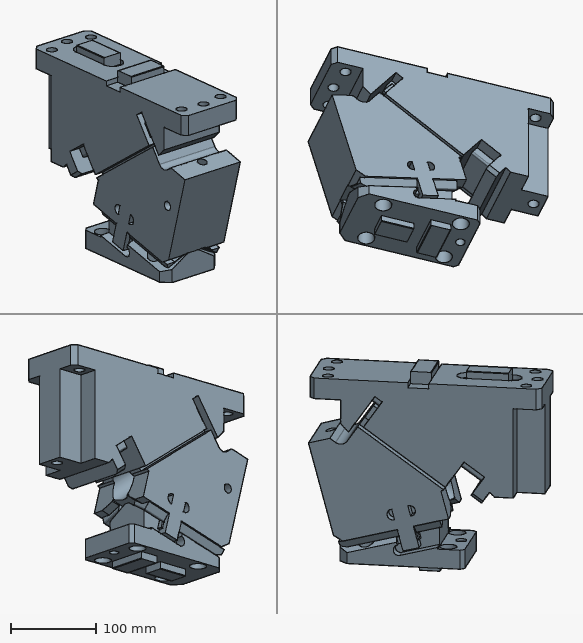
import cadquery as cq
import math


WIDTH = 85.0
HALF_WIDTH = WIDTH / 2
REACH = 278.0

SLIDE_ANGLE = 35.0
SLIDE_X, SLIDE_Z = 114.3, 99.5
SLIDE_LENGTH = 119.5
SLIDE_GAP = 4.0

RAMP_ANGLE = 15.0
RAMP_X, RAMP_Z = 110.6, 61.0

PLATE_LENGTH = 277.2
PLATE_THICKNESS = 25.3
PLATE_CHAMFER = 6.0
HOUSING_TOP = 225.2
HOUSING_HEIGHT = 134.8
HOUSING_BOTTOM = HOUSING_TOP - HOUSING_HEIGHT
HOUSING_FOOT_END = 55.5
STEM_RIGHT = 239.5
STEM_TIP_Z = 171.0
RIB_LENGTH, RIB_WIDTH = 33.4, 35.9
NOTCH_DEPTH = 39.0
UPPER_NOTCH_WIDTH = 10.5
LIP_DEPTH = 15.8
LOWER_NOTCH_WIDTH = 29.7
LEG_WIDTH = 15.5
LEG_TIP = 9.2
LEG_ROOT = 27.2
LEG_CHAMFER = 4.5
WEB_BOTTOM = 27.0
WEB_HALF_WIDTH = 27.8
WEB_ROUND = 2.2
MOUNT_HOLE_RADIUS = 6.5
MOUNT_HOLE_Y = 30.0
LEFT_HOLES_X, LEFT_DOWEL_X = 20.0, 12.0
RIGHT_HOLES_X, RIGHT_DOWEL_X = 257.0, 261.3

KEY_HEIGHT = 9.0
KEY_WIDTH = 25.0
KEY_LENGTH = 50.0
KEY_CHAMFER = 0.8
KEY_SEAT_DEPTH = 6.0
LONG_KEY_X = 69.5
LONG_SEAT_LENGTH = 77.3
CROSS_KEY_X = 146.8

SLIDER_LENGTH = 139.8
SLIDER_HEIGHT = 124.8
SLIDER_CHAMFER = 9.5
SLIDER_END_HEIGHT = 34.5
PAD_HALF_WIDTH = 32.0
KEEPER_THICKNESS = 5.5
SLIDER_RIGHT = SLIDE_LENGTH + KEEPER_THICKNESS
KEEPER_TOP = 26.7
KEEPER_STEP = 8.5
KEEPER_HALF_WIDTH = 36.0
NECK_FLOOR = 35.9
NECK_ROUND = 10.0
NECK_END = 143.5
SCREW_HOLE_RADIUS = 5.8
CROSS_HOLE_RADIUS = 5.5
SCREW_HOLE_S, SCREW_HOLE_H = 120.0, 74.5
VEE_HALF_WIDTH, VEE_INNER = 28.5, 13.5
RIDGE_CLEARANCE = 1.7
BORE_RADIUS = 17.2
BORE_AXIS = 10.0
BORE_END = 83.5
LINER_START, LINER_END = 11.7, 136.5
LINER_TOP_Y, LINER_BOTTOM_Y = 40.3, 35.0
LINER_EDGE_ROUND = 1.0
LEAD_LENGTH, LEAD_RISE = 9.0, 4.5
TAB_START, TAB_WIDTH = 43.5, 20.0
TAB_DEPTH = 26.5
TAB_INNER_Y = 35.5
HOOK_INNER_Y, HOOK_TOP = 30.3, 19.0
RELIEF_RADIUS, RELIEF_H, RELIEF_DEPTH = 6.5, 19.2, 12.2
RELIEF_SHIFT = 0.8

DRIVER_LEFT, DRIVER_RIGHT = 92.0, 242.0
DRIVER_PLATE = 23.4
RAMP_FRONT = 123.7
LEFT_CHAMFER, RIGHT_CHAMFER = 4.7, 10.3
ROOF_ANGLE = 30.0
ROOF_EDGE_DROP = 14.5
RIDGE_HALF_WIDTH = 3.3
SLOT_BOTTOM, SLOT_TOP = 30.9, 18.3
SLOT_END = 68.5
SLOT_INNER_Y = 29.2
FLANGE_START, FLANGE_Y = 41.5, 35.3
BOLT_RADIUS = 10.0
BOLT_Y = 30.0
BOLT_LEFT_X, BOLT_RIGHT_X = 113.1, 210.0
DOWEL_X = 103.0
DOWEL_RADIUS = 5.5
DOWEL_MOUTH_RADIUS, DOWEL_MOUTH_DEPTH = 6.5, 3.0
DRIVER_CROSS_KEY_X = 136.2
DRIVER_LONG_KEY_X, DRIVER_LONG_KEY_LENGTH = 185.7, 40.3


def unit(angle):
    radians = math.radians(angle)
    return math.cos(radians), math.sin(radians)


SLIDE_COS, SLIDE_SIN = unit(SLIDE_ANGLE)
RAMP_COS, RAMP_SIN = unit(RAMP_ANGLE)
RAMP_ORIGIN = (RAMP_X, 0, RAMP_Z)
DOWN_RAMP = (RAMP_COS, 0, -RAMP_SIN)
RAMP_NORMAL = (RAMP_SIN, 0, RAMP_COS)

slide_side = cq.Plane((SLIDE_X, 0, SLIDE_Z), (SLIDE_COS, 0, SLIDE_SIN), (0, -1, 0))
slide_section = cq.Plane((SLIDE_X, 0, SLIDE_Z), (0, 1, 0), (SLIDE_COS, 0, SLIDE_SIN))
ramp_side = cq.Plane(RAMP_ORIGIN, DOWN_RAMP, (0, -1, 0))
ramp_section = cq.Plane(RAMP_ORIGIN, (0, 1, 0), DOWN_RAMP)
ramp_plan = cq.Plane(RAMP_ORIGIN, DOWN_RAMP, RAMP_NORMAL)


def slide_point(t, n):
    """X, Z of a point of the slide frame."""
    return SLIDE_X + t * SLIDE_COS - n * SLIDE_SIN, SLIDE_Z + t * SLIDE_SIN + n * SLIDE_COS


def ramp_point(s, h):
    """X, Z of a point of the ramp frame."""
    return RAMP_X + s * RAMP_COS + h * RAMP_SIN, RAMP_Z - s * RAMP_SIN + h * RAMP_COS


def block(x0, x1, y0, y1, z0, z1):
    return cq.Workplane("XY").box(x1 - x0, y1 - y0, z1 - z0, centered=False).translate((x0, y0, z0))


def side_block(plane, u0, u1, v0, v1, y0, y1):
    """Block in a side frame, spanning y0..y1 across the unit."""
    sketch = cq.Workplane(plane).workplane(offset=-y1)
    return sketch.moveTo(u0, v0).lineTo(u1, v0).lineTo(u1, v1).lineTo(u0, v1).close().extrude(y1 - y0)


def both_sides(shape):
    return shape.union(shape.mirror("XZ"))


def upright_holes(body, centres, radius):
    for x, y in centres:
        body = body.cut(cq.Workplane("XY").center(x, y).circle(radius).extrude(2 * REACH, both=True))
    return body


def key(length, chamfer_face, z0, z1):
    """Key along X, centred on the Z axis, with its exposed long edges chamfered."""
    body = block(-length / 2, length / 2, -KEY_WIDTH / 2, KEY_WIDTH / 2, z0, z1)
    return body.faces(chamfer_face).edges("|X").chamfer(KEY_CHAMFER)


def housing_body():
    leg_outer = -LOWER_NOTCH_WIDTH - LEG_WIDTH
    leg_root = slide_point(leg_outer, LEG_ROOT)
    lip_tip = slide_point(SLIDE_LENGTH + UPPER_NOTCH_WIDTH, -LIP_DEPTH)
    plate_bottom = HOUSING_TOP - PLATE_THICKNESS
    outline = [
        (0, HOUSING_TOP),
        (0, HOUSING_BOTTOM),
        (HOUSING_FOOT_END, HOUSING_BOTTOM),
        leg_root,
        slide_point(leg_outer, LEG_TIP),
        slide_point(-LOWER_NOTCH_WIDTH, LEG_TIP),
        slide_point(-LOWER_NOTCH_WIDTH, NOTCH_DEPTH),
        slide_point(0, NOTCH_DEPTH),
        slide_point(0, 0),
        slide_point(SLIDE_LENGTH, 0),
        slide_point(SLIDE_LENGTH, NOTCH_DEPTH),
        slide_point(SLIDE_LENGTH + UPPER_NOTCH_WIDTH, NOTCH_DEPTH),
        lip_tip,
        (STEM_RIGHT, STEM_TIP_Z),
        (STEM_RIGHT, plate_bottom),
        (PLATE_LENGTH, plate_bottom),
        (PLATE_LENGTH, HOUSING_TOP),
    ]
    body = cq.Workplane("XZ").polyline(outline).close().extrude(HALF_WIDTH, both=True)
    relief = block(0, RIB_LENGTH, RIB_WIDTH / 2, HALF_WIDTH, 0, plate_bottom)
    return body.cut(both_sides(relief))


def plate_corners():
    """Prism that trims the four upright corners of the housing plate."""
    prism = block(0, PLATE_LENGTH, -HALF_WIDTH, HALF_WIDTH, 0, HOUSING_TOP)
    plate = prism.edges("|Z").chamfer(PLATE_CHAMFER)
    corners = prism.cut(plate)
    return corners.intersect(
        block(0, PLATE_LENGTH, -HALF_WIDTH, HALF_WIDTH, HOUSING_TOP - PLATE_THICKNESS, HOUSING_TOP)
    )


def leg_corners():
    """Wedges that chamfer the two lower corners of the leg."""
    corner = [
        (HALF_WIDTH, LEG_TIP),
        (HALF_WIDTH - LEG_CHAMFER, LEG_TIP),
        (HALF_WIDTH, LEG_TIP + LEG_CHAMFER),
    ]
    wedge = cq.Workplane(slide_section).polyline(corner).close().extrude(-LOWER_NOTCH_WIDTH - LEG_WIDTH)
    return both_sides(wedge)


def notch_web(t0, t1):
    """Central web with rounded lower edges, filling the inner end of a notch."""
    web = (
        cq.Workplane(slide_section)
        .workplane(offset=t0)
        .center(0, (WEB_BOTTOM + NOTCH_DEPTH) / 2)
        .rect(2 * WEB_HALF_WIDTH, NOTCH_DEPTH - WEB_BOTTOM)
        .extrude(t1 - t0)
    )
    lower_edges = web.faces(cq.selectors.DirectionMinMaxSelector(slide_side.yDir, False))
    return lower_edges.edges(cq.selectors.ParallelDirSelector(slide_side.xDir)).fillet(WEB_ROUND)


def housing():
    body = housing_body().cut(plate_corners()).cut(leg_corners())
    body = body.union(notch_web(-LOWER_NOTCH_WIDTH, 0))
    body = body.union(notch_web(SLIDE_LENGTH, SLIDE_LENGTH + UPPER_NOTCH_WIDTH))

    left_holes = [(LEFT_HOLES_X, -MOUNT_HOLE_Y), (LEFT_HOLES_X, MOUNT_HOLE_Y), (LEFT_DOWEL_X, 0)]
    right_holes = [(RIGHT_HOLES_X, -MOUNT_HOLE_Y), (RIGHT_HOLES_X, MOUNT_HOLE_Y), (RIGHT_DOWEL_X, 0)]
    body = upright_holes(body, left_holes + right_holes, MOUNT_HOLE_RADIUS)

    seat_floor = HOUSING_TOP - KEY_SEAT_DEPTH
    key_top = HOUSING_TOP + KEY_HEIGHT
    long_seat = (
        cq.Workplane("XY", origin=(LONG_KEY_X, 0, seat_floor))
        .slot2D(LONG_SEAT_LENGTH, KEY_WIDTH)
        .extrude(KEY_SEAT_DEPTH)
    )
    cross_seat = block(
        CROSS_KEY_X - KEY_WIDTH / 2, CROSS_KEY_X + KEY_WIDTH / 2,
        -HALF_WIDTH, HALF_WIDTH, seat_floor, HOUSING_TOP,
    )
    long_key = key(KEY_LENGTH, ">Z", seat_floor, key_top).translate((LONG_KEY_X, 0, 0))
    cross_key = key(KEY_LENGTH, ">Z", seat_floor, key_top).rotate((0, 0, 0), (0, 0, 1), 90)
    cross_key = cross_key.translate((CROSS_KEY_X, 0, 0))
    return body.cut(long_seat).cut(cross_seat).union(long_key).union(cross_key)


def roof_height(y):
    """Height h of the driver roof at a distance y from the middle plane."""
    return (HALF_WIDTH - y) * math.tan(math.radians(ROOF_ANGLE)) - ROOF_EDGE_DROP


def vee_height(y):
    """Height h of the slider's vee underside at a distance y from the middle plane."""
    return (VEE_HALF_WIDTH - y) * math.tan(math.radians(ROOF_ANGLE))


def slider_body():
    arc_inset = NECK_ROUND * (1 - math.sqrt(0.5))
    outline = [
        ramp_point(0, 0),
        ramp_point(SLIDER_LENGTH - SLIDER_CHAMFER, 0),
        ramp_point(SLIDER_LENGTH, SLIDER_CHAMFER),
        ramp_point(SLIDER_LENGTH, SLIDER_HEIGHT),
        slide_point(NECK_END, -NECK_FLOOR),
    ]
    return (
        cq.Workplane("XZ")
        .polyline(outline)
        .lineTo(*slide_point(SLIDER_RIGHT + NECK_ROUND, -NECK_FLOOR))
        .threePointArc(
            slide_point(SLIDER_RIGHT + arc_inset, arc_inset - NECK_FLOOR),
            slide_point(SLIDER_RIGHT, NECK_ROUND - NECK_FLOOR),
        )
        .lineTo(*slide_point(SLIDER_RIGHT, -SLIDE_GAP))
        .lineTo(*slide_point(0, -SLIDE_GAP))
        .lineTo(*ramp_point(0, SLIDER_END_HEIGHT))
        .close()
        .extrude(HALF_WIDTH, both=True)
    )


def slide_pad_and_keeper():
    """Pad touching the slide face, and the keeper plate standing up in the upper notch."""
    pad = side_block(slide_side, 0, SLIDER_RIGHT, -SLIDE_GAP, 0, -PAD_HALF_WIDTH, PAD_HALF_WIDTH)
    neck = side_block(slide_side, SLIDE_LENGTH, SLIDER_RIGHT, 0, KEEPER_STEP, -PAD_HALF_WIDTH, PAD_HALF_WIDTH)
    keeper = side_block(
        slide_side, SLIDE_LENGTH, SLIDER_RIGHT, KEEPER_STEP, KEEPER_TOP, -KEEPER_HALF_WIDTH, KEEPER_HALF_WIDTH
    )
    return pad.union(neck).union(keeper)


def vee_groove():
    """Vee along the underside, with a flat-topped channel that clears the driver ridge."""
    vee_top = vee_height(VEE_INNER)
    channel_top = vee_top + RIDGE_CLEARANCE
    section = [
        (-VEE_HALF_WIDTH, 0),
        (-VEE_INNER, vee_top),
        (-VEE_INNER, channel_top),
        (VEE_INNER, channel_top),
        (VEE_INNER, vee_top),
        (VEE_HALF_WIDTH, 0),
    ]
    return cq.Workplane(ramp_section).polyline(section).close().extrude(REACH)


def spring_bore():
    """Blind bore along the slide, opening at the slider's lower end."""
    mouth = cq.Workplane(slide_section).workplane(offset=-LOWER_NOTCH_WIDTH).center(0, -BORE_AXIS)
    return mouth.circle(BORE_RADIUS).extrude(LOWER_NOTCH_WIDTH + BORE_END)


def liners():
    """Sloping liners between the vee and the driver roof, one on each side."""
    section = [
        (LINER_TOP_Y, 0),
        (LINER_BOTTOM_Y, roof_height(LINER_BOTTOM_Y)),
        (VEE_INNER, roof_height(VEE_INNER)),
        (VEE_INNER, vee_height(VEE_INNER)),
        (VEE_HALF_WIDTH, 0),
    ]
    liner = (
        cq.Workplane(ramp_section)
        .workplane(offset=LINER_START)
        .polyline(section)
        .close()
        .extrude(LINER_END - LINER_START)
    )
    roof_cos, roof_sin = unit(ROOF_ANGLE)
    up_roof = cq.Vector(0, -roof_cos, 0) + cq.Vector(*RAMP_NORMAL) * roof_sin
    eave = ramp_section.toWorldCoords((HALF_WIDTH, -ROOF_EDGE_DROP))
    wedge = (
        cq.Workplane(cq.Plane(eave, DOWN_RAMP, up_roof))
        .polyline([(LINER_END, 0), (LINER_END - LEAD_LENGTH, 0), (LINER_END, LEAD_RISE)])
        .close()
        .extrude(HALF_WIDTH)
    )
    liner = liner.cut(wedge)
    outer_edge = ramp_section.toWorldCoords(
        (LINER_BOTTOM_Y, roof_height(LINER_BOTTOM_Y), (LINER_START + LINER_END) / 2)
    )
    middle_y = (LINER_BOTTOM_Y + VEE_INNER) / 2
    near_edge = ramp_section.toWorldCoords((middle_y, roof_height(middle_y), LINER_START))
    sliding_edges = cq.selectors.SumSelector(
        cq.NearestToPointSelector(outer_edge.toTuple()), cq.NearestToPointSelector(near_edge.toTuple())
    )
    liner = liner.edges(sliding_edges).fillet(LINER_EDGE_ROUND)
    return both_sides(liner)


def hooked_tabs():
    """Tabs hanging from both flanks, hooked inwards below the driver flange."""
    tab_end = TAB_START + TAB_WIDTH
    tab = side_block(ramp_side, TAB_START, tab_end, -TAB_DEPTH, 0, TAB_INNER_Y, HALF_WIDTH)
    hook = side_block(ramp_side, TAB_START, tab_end, -TAB_DEPTH, -HOOK_TOP, HOOK_INNER_Y, HALF_WIDTH)
    return both_sides(tab.union(hook))


def tab_reliefs():
    """Part-round pockets beside the top of each tab."""
    tab_end = TAB_START + TAB_WIDTH
    centres = [(TAB_START - RELIEF_SHIFT, RELIEF_H), (tab_end + RELIEF_SHIFT, RELIEF_H)]
    rounds = (
        cq.Workplane(ramp_side)
        .workplane(offset=HALF_WIDTH - RELIEF_DEPTH)
        .pushPoints(centres)
        .circle(RELIEF_RADIUS)
        .extrude(RELIEF_DEPTH)
    )
    tab_strip = side_block(ramp_side, TAB_START, tab_end, 0, REACH, -HALF_WIDTH, HALF_WIDTH)
    return both_sides(rounds.cut(tab_strip))


def upright_screw_hole():
    """Hole down from the slider top to just below the cross hole."""
    plane = cq.Workplane(ramp_plan).workplane(offset=SCREW_HOLE_H - SCREW_HOLE_RADIUS)
    return plane.center(SCREW_HOLE_S, 0).circle(SCREW_HOLE_RADIUS).extrude(SLIDER_HEIGHT)


def cross_screw_hole():
    """Blind hole from the -Y flank that meets the upright hole."""
    centre = cq.Workplane(ramp_side).center(SCREW_HOLE_S, SCREW_HOLE_H)
    return centre.circle(CROSS_HOLE_RADIUS).extrude(HALF_WIDTH)


def slider():
    body = slider_body().union(slide_pad_and_keeper())
    body = body.cut(vee_groove()).cut(spring_bore())
    body = body.union(liners()).union(hooked_tabs())
    return body.cut(tab_reliefs()).cut(upright_screw_hole()).cut(cross_screw_hole())


def roof_prism():
    ridge = roof_height(RIDGE_HALF_WIDTH)
    section = [
        (-HALF_WIDTH, -REACH),
        (-HALF_WIDTH, -ROOF_EDGE_DROP),
        (-RIDGE_HALF_WIDTH, ridge),
        (RIDGE_HALF_WIDTH, ridge),
        (HALF_WIDTH, -ROOF_EDGE_DROP),
        (HALF_WIDTH, -REACH),
    ]
    return cq.Workplane(ramp_section).polyline(section).close().extrude(REACH, both=True)


def driver_slots():
    """Side slots for the hooked tabs; a flange overhangs the inner end of each slot."""
    lower = side_block(ramp_side, -REACH, SLOT_END, -SLOT_BOTTOM, -SLOT_TOP, SLOT_INNER_Y, HALF_WIDTH)
    end_radius = (SLOT_BOTTOM - SLOT_TOP) / 2
    slot_end = (
        cq.Workplane(ramp_side)
        .workplane(offset=-HALF_WIDTH)
        .center(SLOT_END, -(SLOT_BOTTOM + SLOT_TOP) / 2)
        .circle(end_radius)
        .extrude(HALF_WIDTH - SLOT_INNER_Y)
    )
    before_flange = side_block(ramp_side, -REACH, FLANGE_START, -SLOT_TOP, REACH, SLOT_INNER_Y, HALF_WIDTH)
    beside_flange = side_block(ramp_side, FLANGE_START, SLOT_END, -SLOT_TOP, REACH, FLANGE_Y, HALF_WIDTH)
    return both_sides(lower.union(slot_end).union(before_flange).union(beside_flange))


def driver():
    plate = block(DRIVER_LEFT, RAMP_FRONT, -HALF_WIDTH, HALF_WIDTH, 0, DRIVER_PLATE)
    plate = plate.edges("|Z and <X").chamfer(LEFT_CHAMFER)
    ramp = block(RAMP_FRONT, DRIVER_RIGHT, -HALF_WIDTH, HALF_WIDTH, 0, REACH)
    ramp = ramp.edges("|Z and >X").chamfer(RIGHT_CHAMFER).intersect(roof_prism())
    body = plate.union(ramp.cut(driver_slots()))

    bolts = [(x, y) for x in (BOLT_LEFT_X, BOLT_RIGHT_X) for y in (-BOLT_Y, BOLT_Y)]
    body = upright_holes(body, bolts, BOLT_RADIUS)
    body = upright_holes(body, [(DOWEL_X, 0)], DOWEL_RADIUS)
    dowel_mouth = cq.Workplane("XY", origin=(DOWEL_X, 0, DRIVER_PLATE)).circle(DOWEL_MOUTH_RADIUS)
    body = body.cut(dowel_mouth.extrude(-DOWEL_MOUTH_DEPTH))

    cross_key = key(KEY_LENGTH, "<Z", -KEY_HEIGHT, 0).rotate((0, 0, 0), (0, 0, 1), 90)
    cross_key = cross_key.translate((DRIVER_CROSS_KEY_X, 0, 0))
    long_key = key(DRIVER_LONG_KEY_LENGTH, "<Z", -KEY_HEIGHT, 0).translate((DRIVER_LONG_KEY_X, 0, 0))
    return body.union(cross_key).union(long_key)


upper_housing = housing()
cam_slider = slider()
lower_driver = driver()

result = cq.Compound.makeCompound(
    [
        *upper_housing.solids().vals(),
        *cam_slider.solids().vals(),
        *lower_driver.solids().vals(),
    ]
)